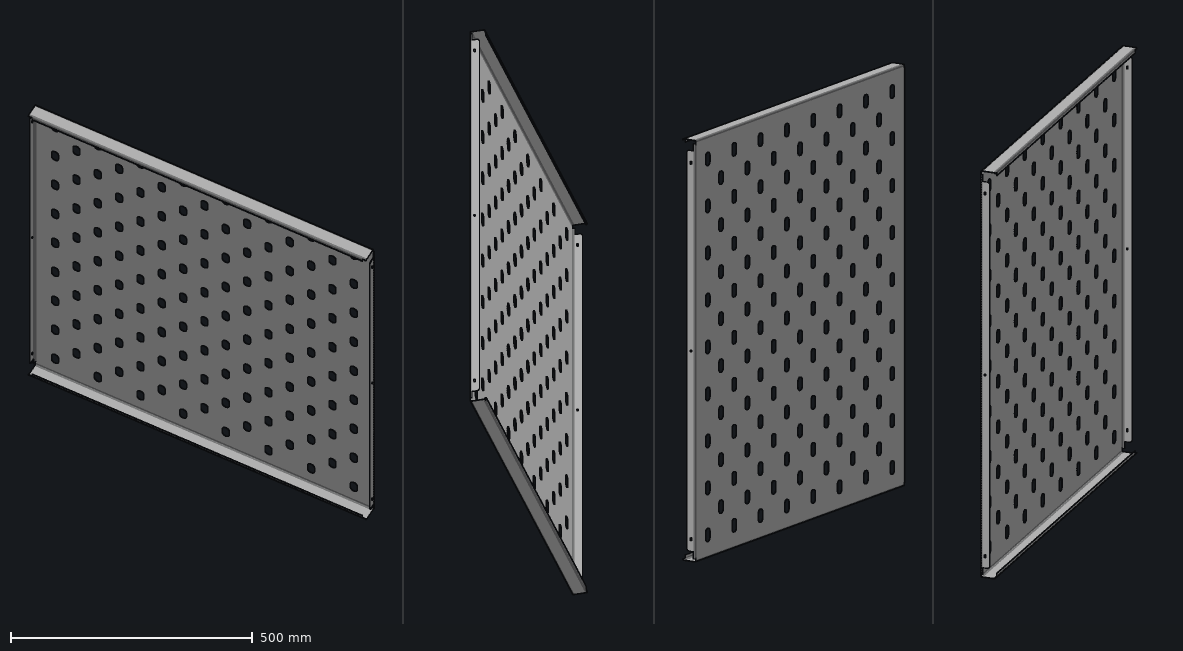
import cadquery as cq

width = 798.0
depth = 33.0
height = 898.0

sheet = 1.5
bend_radius = 3.2
inner_radius = bend_radius - sheet

fold_inset = 3.1
lip_height = 10.0
lip_end_inset = 12.0

side_depth = 22.0
side_end_gap = 22.5
side_corner_radius = 6.0
strip_depth = 5.0
strip_end_gap = 7.0

upright = 90
slot_width = 16.0
slot_height = 29.0
columns = 8
rows = 9
row_span = 800.0
pitch = row_span / (rows - 1)

fixing_setback = 11.0
fixing_spacing = 400.5
fixing_diameter = 4.0
fixing_slot_length = 6.0

back = depth / 2
front = -depth / 2
half_width = width / 2
half_height = height / 2


def top_fold():
    """Flange along the top edge, its bend into the panel and its return lip."""
    outer = (
        cq.Workplane("YZ")
        .rect(depth, height)
        .extrude(half_width - fold_inset, both=True)
        .edges("|X").fillet(bend_radius)
    )
    cavity = (
        cq.Workplane("YZ")
        .rect(depth - 2 * sheet, height - 2 * sheet)
        .extrude(width, both=True)
        .edges("|X").fillet(inner_radius)
    )
    top_zone = (
        cq.Workplane("XY")
        .box(width, depth, lip_height, centered=(True, True, False))
        .translate((0, 0, half_height - lip_height))
    )
    shell = outer.cut(cavity).intersect(top_zone)
    lip_ends = (
        cq.Workplane("XY", origin=(0, front + bend_radius / 2, half_height - lip_height))
        .pushPoints([(-half_width, 0), (half_width, 0)])
        .rect(2 * lip_end_inset, bend_radius)
        .extrude(lip_height - bend_radius)
    )
    return shell.cut(lip_ends)


def side_channel():
    """Panel and both side flanges: the back half of a box section, trimmed at the flange ends."""
    outer = (
        cq.Workplane("XY")
        .rect(width, 2 * side_depth)
        .extrude(half_height - strip_end_gap, both=True)
        .edges("|Z").fillet(bend_radius)
    )
    cavity = (
        cq.Workplane("XY")
        .rect(width - 2 * sheet, 2 * (side_depth - sheet))
        .extrude(height, both=True)
        .edges("|Z").fillet(inner_radius)
    )
    flange_outline = (
        cq.Workplane("YZ")
        .center(side_depth / 2, 0)
        .rect(side_depth, height - 2 * side_end_gap)
        .extrude(width, both=True)
        .edges("|X and <Y").fillet(side_corner_radius)
    )
    strip_outline = (
        cq.Workplane("YZ")
        .center(side_depth - strip_depth / 2, 0)
        .rect(strip_depth, height)
        .extrude(width, both=True)
    )
    channel = outer.cut(cavity).intersect(flange_outline.union(strip_outline))
    return channel.translate((0, back - side_depth, 0))


def perforation():
    """Staggered slots: full rows on the pitch, shorter rows between them."""
    def slots(column_count, row_count):
        return (
            cq.Workplane("XZ", origin=(0, back, 0))
            .rarray(pitch, pitch, column_count, row_count)
            .slot2D(slot_height, slot_width, upright)
            .extrude(sheet)
        )
    return slots(columns, rows).add(slots(columns - 1, rows - 1)).combine()


def fixing_holes():
    """Round hole at mid height and an upright slot near each end, through both side flanges."""
    plane = cq.Workplane("YZ", origin=(0, back - fixing_setback, 0))
    round_hole = plane.circle(fixing_diameter / 2).extrude(width, both=True)
    end_slots = (
        plane.pushPoints([(0, -fixing_spacing), (0, fixing_spacing)])
        .slot2D(fixing_slot_length, fixing_diameter, upright)
        .extrude(width, both=True)
    )
    return round_hole.add(end_slots).combine()


fold = top_fold()
flat_panel = (
    cq.Workplane("XY")
    .box(width - 2 * bend_radius, sheet, height - 2 * bend_radius)
    .translate((0, back - sheet / 2, 0))
)
result = (
    side_channel()
    .union(flat_panel)
    .union(fold)
    .union(fold.mirror("XY"))
    .cut(perforation())
    .cut(fixing_holes())
)